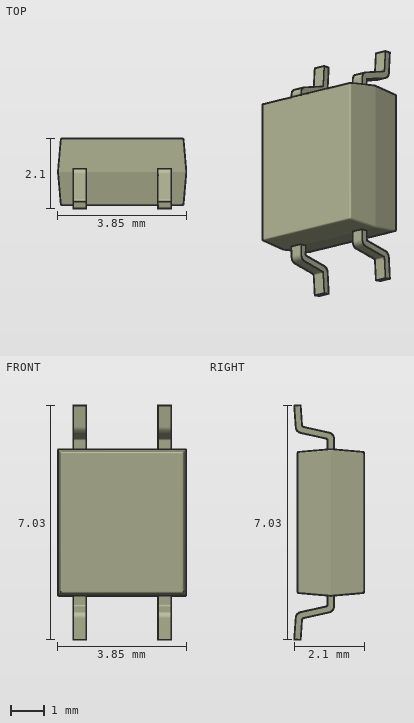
import cadquery as cq
import math

BODY_WIDTH = 3.85
BODY_LENGTH = 4.4
BODY_DEPTH = 2.0
DRAFT_ANGLE = 5.0
EDGE_RADIUS = 0.05

OVERALL_LENGTH = 7.03
LEAD_PITCH = 2.54
LEAD_WIDTH = 0.4
LEAD_THICKNESS = 0.2
LEAD_EMBED = 0.4
SHOULDER_Z = 2.58
ARM_ANGLE = 12.5
FOOT_ANGLE = 4.0
FOOT_STANDOFF = 0.1
INNER_BEND_RADIUS = 0.05
OUTER_BEND_RADIUS = 0.2


def make_body():
    half_depth = BODY_DEPTH / 2
    profile = cq.Workplane("XZ").rect(BODY_WIDTH, BODY_LENGTH)
    front_half = profile.extrude(half_depth, taper=DRAFT_ANGLE)
    back_half = front_half.mirror("XZ")
    body = front_half.union(back_half)
    tolerance = EDGE_RADIUS / 5
    parting_outline = cq.selectors.BoxSelector(
        (-BODY_WIDTH, -tolerance, -BODY_LENGTH),
        (BODY_WIDTH, tolerance, BODY_LENGTH),
    )
    return body.edges(cq.selectors.InverseSelector(parting_outline)).fillet(EDGE_RADIUS)


def make_lead(x_center):
    """Upper lead: a riser out of the body, a sloping arm and a leaning foot."""
    half = LEAD_THICKNESS / 2
    arm = math.radians(ARM_ANGLE)
    foot = math.radians(FOOT_ANGLE)

    tip_y = -(BODY_DEPTH / 2 + FOOT_STANDOFF) + half * math.cos(foot)
    tip_z = OVERALL_LENGTH / 2 - half * math.sin(foot)

    def side_points(offset):
        """Corners of one side of the lead; a positive offset is toward -Y."""
        root = (-offset, BODY_LENGTH / 2 - LEAD_EMBED)
        slope = math.tan(arm)
        arm_z = SHOULDER_Z - offset / math.cos(arm)
        shoulder = (-offset, arm_z + slope * offset)
        end = (tip_y - offset * math.cos(foot), tip_z - offset * math.sin(foot))
        lean = math.tan(foot)
        knee_y = (end[0] + lean * (end[1] - arm_z)) / (1 - lean * slope)
        knee = (knee_y, arm_z - slope * knee_y)
        return [root, shoulder, knee, end]

    near_side = side_points(half)
    far_side = side_points(-half)
    lead = (
        cq.Workplane("YZ")
        .workplane(offset=x_center - LEAD_WIDTH / 2)
        .polyline(near_side + far_side[::-1])
        .close()
        .extrude(LEAD_WIDTH)
    )

    def bend_edge(point):
        return cq.selectors.NearestToPointSelector((x_center, point[0], point[1]))

    near_shoulder, near_knee = near_side[1:3]
    far_shoulder, far_knee = far_side[1:3]
    for corner in (near_shoulder, far_knee):
        lead = lead.edges("|X").edges(bend_edge(corner)).fillet(INNER_BEND_RADIUS)
    for corner in (far_shoulder, near_knee):
        lead = lead.edges("|X").edges(bend_edge(corner)).fillet(OUTER_BEND_RADIUS)
    return lead


result = make_body()
for x_center in (-LEAD_PITCH / 2, LEAD_PITCH / 2):
    upper_lead = make_lead(x_center)
    lower_lead = upper_lead.mirror("XY")
    result = result.union(upper_lead).union(lower_lead)